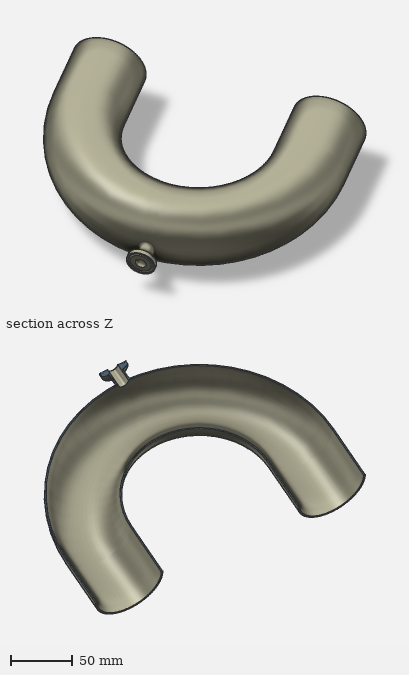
import cadquery as cq
import math

tube_diameter = 63.5
tube_bore = 60.2
overall_width = 254.0
leg_length = 50.8
bend_radius = (overall_width - tube_diameter) / 2
bend_outer_radius = overall_width / 2

ferrule_reach = 16.0
neck_diameter = 12.7
neck_bore = 9.5
weld_fillet = 1.8
flange_diameter = 25.0
rim_thickness = 4.0
rim_rounding = 0.8
flange_back_angle = 20.0
groove_outer_diameter = 21.8
groove_inner_diameter = 18.3
groove_depth = 0.8

ferrule_face = -(bend_outer_radius + ferrule_reach)


def u_rod(diameter):
    """Solid round rod following the two legs and the half-circle bend."""
    path = (
        cq.Workplane("XY")
        .moveTo(-bend_radius, leg_length)
        .lineTo(-bend_radius, 0)
        .threePointArc((0, -bend_radius), (bend_radius, 0))
        .lineTo(bend_radius, leg_length)
    )
    profile = cq.Workplane("XZ", origin=(-bend_radius, leg_length, 0)).circle(diameter / 2)
    return profile.sweep(path)


def spin_about_y(outline):
    """Full revolution of a closed XY outline about the ferrule axis."""
    return outline.close().revolve(360, (0, 0, 0), (0, 1, 0))


def ferrule_body():
    """Neck and cone-backed flange, rooted on the bend centreline."""
    neck_radius = neck_diameter / 2
    flange_radius = flange_diameter / 2
    rim_back = ferrule_face + rim_thickness
    cone_length = (flange_radius - neck_radius) * math.tan(math.radians(flange_back_angle))
    outline = (
        cq.Workplane("XY")
        .moveTo(0, -bend_radius)
        .lineTo(neck_radius, -bend_radius)
        .lineTo(neck_radius, rim_back + cone_length)
        .lineTo(flange_radius, rim_back)
        .lineTo(flange_radius, ferrule_face)
        .lineTo(0, ferrule_face)
    )
    widest_circles = cq.selectors.RadiusNthSelector(-1)
    return spin_about_y(outline).edges(widest_circles).edges(">Y").fillet(rim_rounding)


def gasket_groove():
    """Ring cutter with a rounded floor, sunk into the ferrule face."""
    inner_radius = groove_inner_diameter / 2
    outer_radius = groove_outer_diameter / 2
    middle_radius = (inner_radius + outer_radius) / 2
    outline = (
        cq.Workplane("XY")
        .moveTo(inner_radius, ferrule_face)
        .threePointArc((middle_radius, ferrule_face + groove_depth), (outer_radius, ferrule_face))
    )
    return spin_about_y(outline)


def branch_bore():
    """Cutter from the ferrule face to the middle of the tube."""
    face = cq.Workplane("XZ", origin=(0, ferrule_face, 0))
    return face.circle(neck_bore / 2).extrude(ferrule_face + bend_radius)


weld_zone = cq.selectors.BoxSelector(
    (-neck_diameter, -bend_outer_radius - weld_fillet, -neck_diameter),
    (neck_diameter, -bend_radius, neck_diameter),
)

result = (
    u_rod(tube_diameter)
    .union(ferrule_body())
    .edges(weld_zone)
    .fillet(weld_fillet)
    .cut(u_rod(tube_bore))
    .cut(branch_bore())
    .cut(gasket_groove())
)